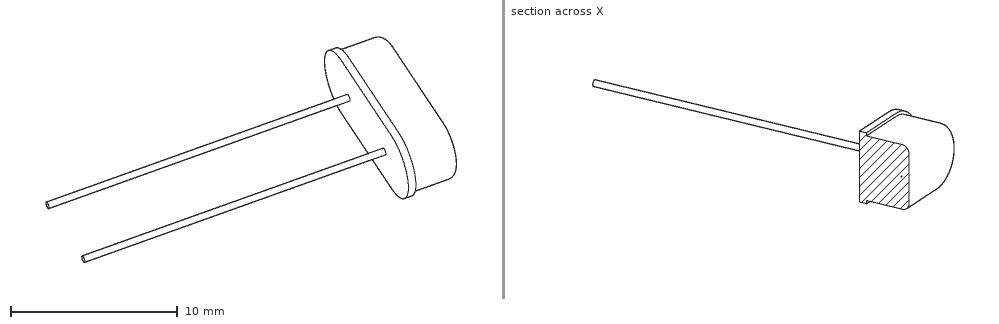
import cadquery as cq

flange_length = 11.5
flange_width = 4.66
flange_thickness = 0.5
flange_overhang = 0.2
body_depth = 3.5
cap_edge_radius = 0.5
lead_pitch = 4.9
lead_diameter = 0.43
overall_depth = 23.6

cap_length = flange_length - 2 * flange_overhang
cap_width = flange_width - 2 * flange_overhang
cap_depth = body_depth - flange_thickness
lead_length = overall_depth - body_depth


def plane_at(y):
    """XZ plane at the given Y whose normal points along +Y."""
    return cq.Plane(origin=(0, y, 0), xDir=(1, 0, 0), normal=(0, 1, 0))


def make_flange():
    """Obround base plate with its front face at Y = 0."""
    return cq.Workplane(plane_at(0)).slot2D(flange_length, flange_width).extrude(flange_thickness)


def make_cap():
    """Obround cap with a rounded back edge."""
    cap = cq.Workplane(plane_at(flange_thickness)).slot2D(cap_length, cap_width).extrude(cap_depth)
    return cap.faces(">Y").edges().fillet(cap_edge_radius)


def make_leads():
    """Pair of straight round leads ending on the flange's front face."""
    lead_centers = [(-lead_pitch / 2, 0), (lead_pitch / 2, 0)]
    leads = cq.Workplane(plane_at(-lead_length)).pushPoints(lead_centers)
    return leads.circle(lead_diameter / 2).extrude(lead_length)


result = make_flange().union(make_cap()).union(make_leads())